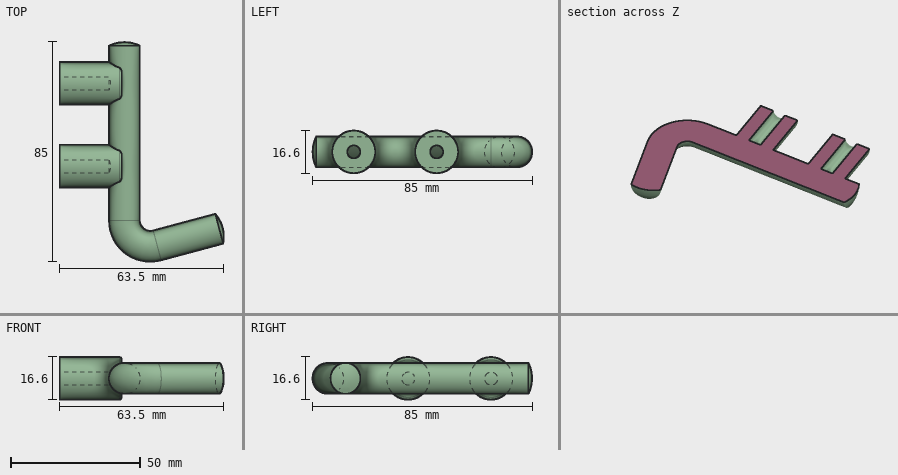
import cadquery as cq
import math

rod_diameter = 12.0
rod_radius = rod_diameter / 2
bend_radius = 10.0
bend_angle = 105
dome_height = 1.45
overall_length = 85
bend_outer_radius = bend_radius + rod_radius
shank_length = overall_length - bend_outer_radius - dome_height
leg_length = 24.9

post_diameter = 16.6
post_length = 24.0
post_edge_round = 1.0
post_spacing = 32.0
post_end_offset = 16.0
rod_axis_x = 25.0
hole_diameter = 5.0

shank_top_y = shank_length + dome_height
upper_post_y = shank_top_y - post_end_offset
post_positions_y = [upper_post_y, upper_post_y - post_spacing]


def domed_bar(length):
    """Bar along +Z from the origin with a shallow spherical cap on its far end."""
    dome_radius = (rod_radius**2 + dome_height**2) / (2 * dome_height)
    half_angle = math.asin(rod_radius / dome_radius) / 2
    arc_middle = (
        dome_radius * math.sin(half_angle),
        length + dome_height - dome_radius * (1 - math.cos(half_angle)),
    )
    return (
        cq.Workplane("XZ")
        .lineTo(rod_radius, 0)
        .lineTo(rod_radius, length)
        .threePointArc(arc_middle, (0, length + dome_height))
        .close()
        .revolve(360, (0, 0), (0, 1))
    )


def make_rod():
    bend_center_x = rod_axis_x + bend_radius
    shank = domed_bar(shank_length).rotate((0, 0, 0), (1, 0, 0), -90).translate((rod_axis_x, 0, 0))
    bend = (
        cq.Workplane("XZ", origin=(rod_axis_x, 0, 0))
        .circle(rod_radius)
        .revolve(bend_angle, (bend_radius, 0), (bend_radius, 1))
    )
    turn = math.radians(bend_angle)
    leg_start = (
        bend_center_x - bend_radius * math.cos(turn),
        -bend_radius * math.sin(turn),
        0,
    )
    leg = (
        domed_bar(leg_length)
        .rotate((0, 0, 0), (0, 1, 0), 90)
        .rotate((0, 0, 0), (0, 0, 1), bend_angle - 90)
        .translate(leg_start)
    )
    return shank.union(bend).union(leg)


def make_post(y):
    """Post with a hole along its axis and a rounded rim where it meets the shank."""
    return (
        cq.Workplane("YZ", origin=(0, y, 0))
        .circle(post_diameter / 2)
        .extrude(post_length)
        .faces(">X")
        .edges()
        .fillet(post_edge_round)
        .faces("<X")
        .workplane()
        .hole(hole_diameter)
    )


result = make_rod()
for post_y in post_positions_y:
    result = result.union(make_post(post_y))